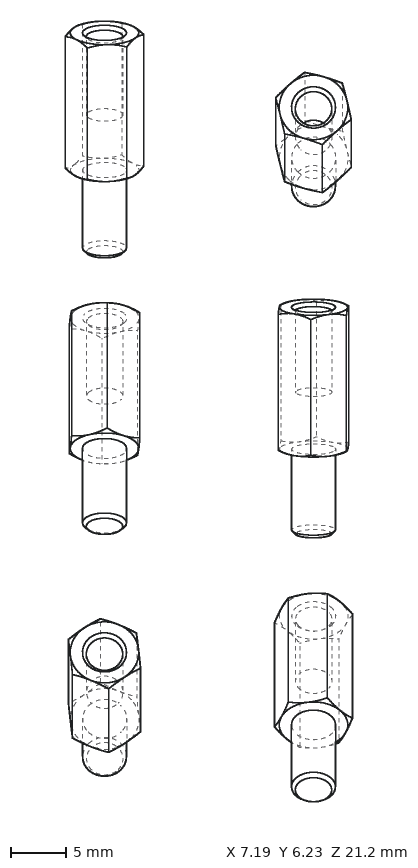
import cadquery as cq
import math

total_length = 21.18
hex_length = 13.25
across_flats = 6.23
stud_length = total_length - hex_length

thread_diameter = 4.0
core_diameter = 3.3
thread_chamfer = (thread_diameter - core_diameter) / 2
bore_depth = stud_length

corner_angle = 30.0

across_corners = across_flats / math.cos(math.pi / 6)
corner_drop = (across_corners - across_flats) / 2 * math.tan(math.radians(corner_angle))


def make_hex_body():
    """Hexagonal body from Z = 0 upwards, with conical corners at both ends."""
    prism = cq.Workplane("XY").polygon(6, across_corners).extrude(hex_length)
    flat_radius = across_flats / 2
    corner_radius = across_corners / 2
    turned_envelope = (
        cq.Workplane("XZ")
        .moveTo(0, 0)
        .lineTo(flat_radius, 0)
        .lineTo(corner_radius, corner_drop)
        .lineTo(corner_radius, hex_length - corner_drop)
        .lineTo(flat_radius, hex_length)
        .lineTo(0, hex_length)
        .close()
        .revolve(360, (0, 0, 0), (0, 1, 0))
    )
    return prism.intersect(turned_envelope)


def make_stud():
    """Stud below the body, chamfered at its free end."""
    stud = cq.Workplane("XY").circle(thread_diameter / 2).extrude(-stud_length)
    return stud.faces("<Z").chamfer(thread_chamfer)


def make_bore():
    """Blind bore in the top of the body, with a countersunk mouth."""
    top = cq.Workplane("XY").workplane(offset=hex_length)
    bore = top.circle(core_diameter / 2).extrude(-bore_depth)
    countersink = (
        top.circle(thread_diameter / 2)
        .workplane(offset=-thread_chamfer)
        .circle(core_diameter / 2)
        .loft(combine=False)
    )
    return bore.union(countersink)


result = make_hex_body().union(make_stud()).cut(make_bore())